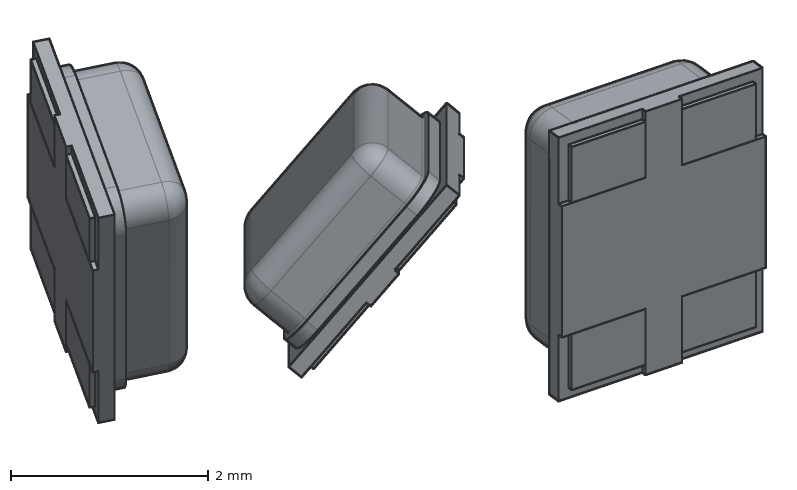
import cadquery as cq

board_width = 2.5
board_height = 3.1
total_depth = 1.1

board_thickness = 0.23
recess_depth = 0.06
recess_height = 0.778
cross_bar_width = 0.45
recess_width = (board_width - cross_bar_width) / 2

pad_margin = 0.12
pad_width = recess_width - pad_margin
pad_height = recess_height - pad_margin

flange_inset = 0.11
flange_thickness = 0.152
flange_step = 0.075
can_corner_radius = 0.28
can_top_radius = 0.25
can_foot_radius = 0.022

flange_width = board_width - 2 * flange_inset
flange_height = board_height - 2 * flange_inset
flange_corner_radius = can_corner_radius + flange_step
can_width = flange_width - 2 * flange_step
can_height = flange_height - 2 * flange_step
flange_top = board_thickness + flange_thickness

CORNER_SIGNS = [(x_sign, z_sign) for x_sign in (-1, 1) for z_sign in (-1, 1)]


def block(width, height, y_start, y_end):
    """Rectangular block centred on X and Z, spanning y_start to y_end."""
    depth = y_end - y_start
    return cq.Workplane("XY").box(width, depth, height).translate((0, (y_start + y_end) / 2, 0))


def make_board():
    """Flat board with a rectangular recess in each corner of its solder side."""
    board = block(board_width, board_height, 0, board_thickness)
    recess = block(recess_width, recess_height, 0, recess_depth)
    recess_x = (board_width - recess_width) / 2
    recess_z = (board_height - recess_height) / 2
    for x_sign, z_sign in CORNER_SIGNS:
        board = board.cut(recess.translate((x_sign * recess_x, 0, z_sign * recess_z)))
    return board


def make_pad(x_sign, z_sign):
    """Pad against the two inner walls of one corner recess."""
    pad_x = (cross_bar_width + pad_width) / 2
    pad_z = board_height / 2 - pad_margin - pad_height / 2
    pad = block(pad_width, pad_height, 0, recess_depth)
    return pad.translate((x_sign * pad_x, 0, z_sign * pad_z))


def make_lid():
    """Can with rounded corners and top edge, filleted into a wider flange."""
    flange = block(flange_width, flange_height, board_thickness, flange_top)
    flange = flange.edges("|Y").fillet(flange_corner_radius)
    can = block(can_width, can_height, board_thickness, total_depth)
    can = can.edges("|Y").fillet(can_corner_radius)
    can = can.faces(">Y").edges().fillet(can_top_radius)
    lid = flange.union(can)

    foot_edge = lid.edges(cq.selectors.NearestToPointSelector((can_width / 2, flange_top, 0)))
    return foot_edge.fillet(can_foot_radius)


board = make_board()
lid = make_lid()
pads = [make_pad(x_sign, z_sign) for x_sign, z_sign in CORNER_SIGNS]

result = cq.Compound.makeCompound([board.val(), lid.val(), *[pad.val() for pad in pads]])